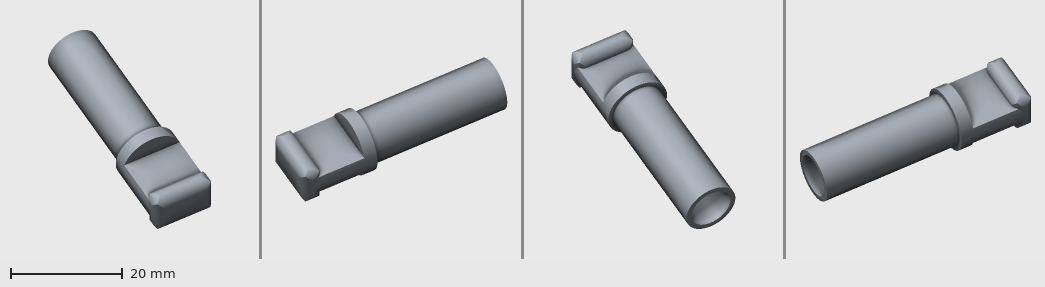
import cadquery as cq

TUBE_LENGTH = 27.0
TUBE_DIAMETER = 10.0
BORE_DIAMETER = 8.0
BORE_DEPTH = TUBE_LENGTH

COLLAR_LENGTH = 2.5
COLLAR_DIAMETER = 12.0
TONGUE_THICKNESS = 4.0

OVERALL_LENGTH = 42.0
HEAD_LENGTH = 4.0
HEAD_WIDTH = COLLAR_DIAMETER
HEAD_HEIGHT = 8.0
HEAD_RADIUS = HEAD_LENGTH / 2
UPRIGHT = 90.0

COLLAR_END = TUBE_LENGTH + COLLAR_LENGTH
HEAD_CENTER = OVERALL_LENGTH - HEAD_LENGTH / 2


def rod(start, length, diameter):
    """Solid cylinder along the X axis, beginning at X = start."""
    return cq.Workplane("YZ", origin=(start, 0, 0)).circle(diameter / 2).extrude(length)


def make_tongue():
    """Collar-diameter rod flattened above and below, ending at the head centre."""
    length = HEAD_CENTER - COLLAR_END
    slab = (
        cq.Workplane("XY", origin=(COLLAR_END + length / 2, 0, 0))
        .box(length, COLLAR_DIAMETER, TONGUE_THICKNESS)
    )
    return rod(COLLAR_END, length, COLLAR_DIAMETER).intersect(slab)


def slot_prism(plane, outline_length, depth):
    """Head-centred prism with a full-round slot outline on the given plane."""
    return (
        cq.Workplane(plane, origin=(HEAD_CENTER, 0, 0))
        .slot2D(outline_length, HEAD_LENGTH, UPRIGHT)
        .extrude(depth / 2, both=True)
    )


def make_head():
    """Common volume of three prisms along X, Y and Z, so that every edge is
    rounded and the rounds meet in mitred corners."""
    along_x = (
        cq.Workplane("YZ", origin=(HEAD_CENTER, 0, 0))
        .rect(HEAD_WIDTH, HEAD_HEIGHT)
        .extrude(HEAD_LENGTH / 2, both=True)
        .edges("|X")
        .fillet(HEAD_RADIUS)
    )
    along_y = slot_prism("XZ", HEAD_HEIGHT, HEAD_WIDTH)
    along_z = slot_prism("XY", HEAD_WIDTH, HEAD_HEIGHT)
    return along_x.intersect(along_y).intersect(along_z)


tube = rod(0, TUBE_LENGTH, TUBE_DIAMETER)
collar = rod(TUBE_LENGTH, COLLAR_LENGTH, COLLAR_DIAMETER)
bore = rod(0, BORE_DEPTH, BORE_DIAMETER)

result = tube.union(collar).union(make_tongue()).union(make_head()).cut(bore)